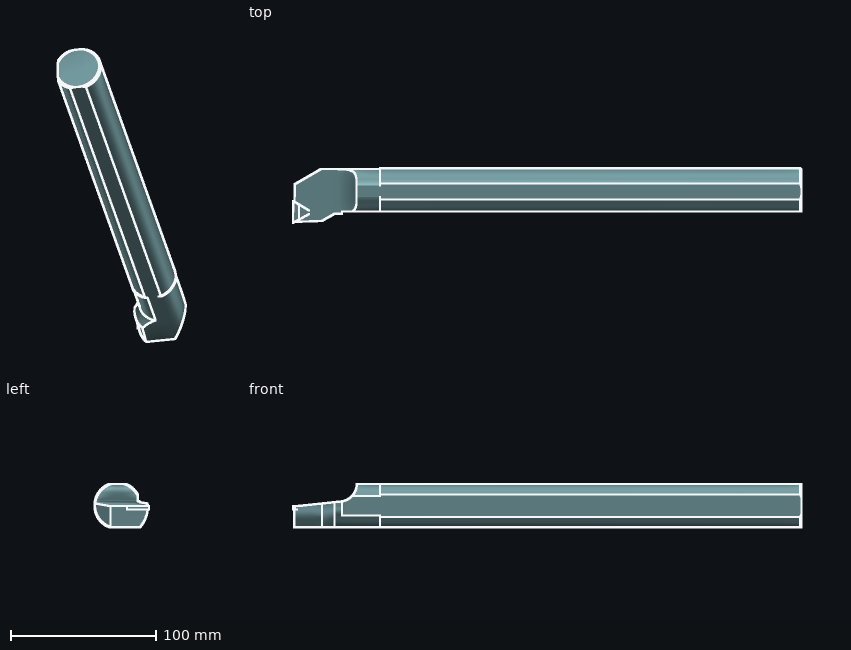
import cadquery as cq
import math

bar_length = 350.61
shank_radius = 16.0
shank_flat_height = 15.0
side_flat_offset = 14.0
end_chamfer = 1.0

neck_radius = 15.5
neck_end_x = 60.0
side_flat_start_x = 34.0

flare_end_x = 28.7
shoulder_x = 20.1
head_center_y = 2.0
shoulder_radius = 22.5
nose_radius = 23.1
front_top_y = 5.0
front_relief_angle = 30.0
front_lead_angle = 1.0
front_inset = 0.85

rake_angle = 6.0
rake_front_z = -0.55
runout_radius = 12.0
runout_end_x = 44.0

tip_y = shank_radius - 37.82
insert_edge = 15.2
insert_corner_angle = 60.0
insert_thickness = 2.7
insert_top_z = -0.1

margin = 10.0


def disc(x, y, radius):
    """Circular wire across X, centred on (y, 0)."""
    return cq.Wire.makeCircle(radius, cq.Vector(x, y, 0), cq.Vector(1, 0, 0))


def round_bar(start_x, end_x, radius):
    return cq.Workplane("YZ", origin=(start_x, 0, 0)).circle(radius).extrude(end_x - start_x)


def box_between(low, high):
    size = [b - a for a, b in zip(low, high)]
    return cq.Workplane("XY").box(*size, centered=False).translate(low)


def make_shank():
    shank = round_bar(neck_end_x, bar_length, shank_radius).faces(">X").chamfer(end_chamfer)
    neck = round_bar(0, neck_end_x, neck_radius)
    side_cut = box_between(
        (side_flat_start_x, -shank_radius - margin, -shank_radius),
        (bar_length, -side_flat_offset, shank_radius),
    )
    return shank.union(neck).cut(side_cut)


def make_head_flare():
    """Two tapered lengths, of which only the -Y half is kept."""
    nose = disc(0, head_center_y, nose_radius)
    shoulder = disc(shoulder_x, head_center_y, shoulder_radius)
    flare_end = disc(flare_end_x, 0, neck_radius)
    front = cq.Workplane(cq.Solid.makeLoft([nose, shoulder], True))
    back = cq.Workplane(cq.Solid.makeLoft([shoulder, flare_end], True))
    tip_side_half = box_between(
        (0, -nose_radius - margin, -shank_flat_height),
        (flare_end_x, 0, shank_flat_height),
    )
    return front.union(back).intersect(tip_side_half)


def front_face_x(y):
    return front_inset + (y - tip_y) * math.tan(math.radians(front_lead_angle))


def front_cutter():
    """Everything ahead of the front face and of the relief beside it."""
    low_y = tip_y - margin
    high_y = shank_radius + margin
    relief_x = front_face_x(front_top_y) + (high_y - front_top_y) / math.tan(math.radians(front_relief_angle))
    return (
        cq.Workplane("XY", origin=(0, 0, -shank_radius))
        .moveTo(-margin, low_y)
        .lineTo(front_face_x(low_y), low_y)
        .lineTo(front_face_x(front_top_y), front_top_y)
        .lineTo(relief_x, high_y)
        .lineTo(-margin, high_y)
        .close()
        .extrude(2 * shank_radius)
    )


def rake_cutter():
    """Removes the steel above the rake face; the run-out arc is tangent to the rake and ends upright."""
    angle = math.radians(rake_angle)
    slope = math.tan(angle)
    center_x = runout_end_x - runout_radius
    tangent_x = center_x + runout_radius * math.sin(angle)
    tangent_z = rake_front_z + tangent_x * slope
    center_z = tangent_z + runout_radius * math.cos(angle)
    mid_angle = (angle - math.pi / 2) / 2
    mid = (center_x + runout_radius * math.cos(mid_angle), center_z + runout_radius * math.sin(mid_angle))
    top_z = shank_radius + margin
    return (
        cq.Workplane("XZ")
        .moveTo(-margin, rake_front_z - margin * slope)
        .lineTo(tangent_x, tangent_z)
        .threePointArc(mid, (runout_end_x, center_z))
        .lineTo(runout_end_x, top_z)
        .lineTo(-margin, top_z)
        .close()
        .extrude(shank_radius + nose_radius, both=True)
    )


def make_insert():
    """Equilateral plate with one corner at the tip and one edge along the front face."""
    edge_direction = math.radians(90 - front_lead_angle)
    inner_direction = edge_direction - math.radians(insert_corner_angle)
    corners = [(0, tip_y)]
    for direction in (edge_direction, inner_direction):
        corners.append((insert_edge * math.cos(direction), tip_y + insert_edge * math.sin(direction)))
    return (
        cq.Workplane("XY", origin=(0, 0, insert_top_z - insert_thickness))
        .polyline(corners)
        .close()
        .extrude(insert_thickness)
    )


insert = make_insert()

flats = box_between(
    (0, -nose_radius - margin, -shank_flat_height),
    (bar_length, shank_radius + margin, shank_flat_height),
)
holder = make_shank().union(make_head_flare()).intersect(flats)
holder = holder.cut(front_cutter()).cut(rake_cutter()).cut(insert)

result = cq.Compound.makeCompound([holder.val(), insert.val()])